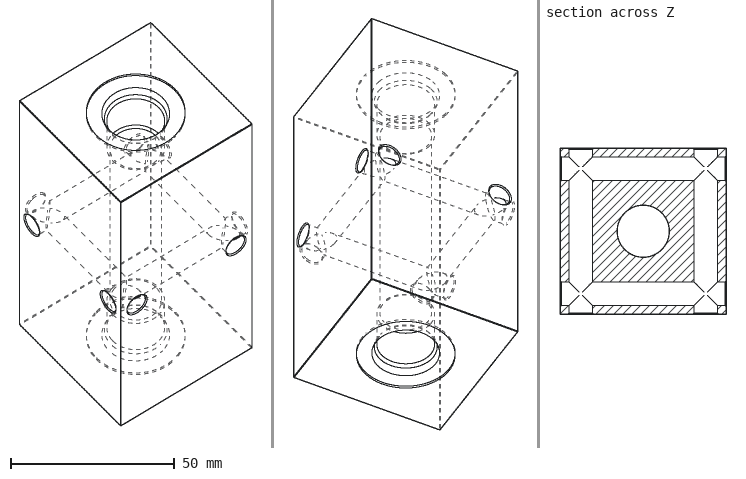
import cadquery as cq
import math

height = 108.0
width = 50.8
edge_chamfer = 0.19

spotface_diameter = 30.2
spotface_depth = 0.8
seat_mouth_diameter = 20.7
seat_floor_diameter = 19.2
seat_depth = 2.5
thread_lead_in = 1.1
thread_diameter = 17.7
thread_depth = 16.2
drill_point_angle = 118.0
bore_diameter = 15.9

cross_hole_diameter = 7.1
cross_hole_offset = 19.1
countersink_diameter = 7.9


def port_cutter():
    """Stepped port with a conical end, opening on the top face and revolved about Z."""
    top = height / 2
    spotface_floor = top - spotface_depth
    seat_floor = spotface_floor - seat_depth
    thread_start = seat_floor - thread_lead_in
    thread_floor = spotface_floor - thread_depth
    drill_tip = thread_floor - thread_diameter / 2 / math.tan(math.radians(drill_point_angle / 2))
    return (
        cq.Workplane("XZ")
        .moveTo(0, top)
        .lineTo(spotface_diameter / 2, top)
        .lineTo(spotface_diameter / 2, spotface_floor)
        .lineTo(seat_mouth_diameter / 2, spotface_floor)
        .lineTo(seat_floor_diameter / 2, seat_floor)
        .lineTo(thread_diameter / 2, thread_start)
        .lineTo(thread_diameter / 2, thread_floor)
        .lineTo(0, drill_tip)
        .close()
        .revolve(360, (0, 0), (0, 1))
    )


def cross_hole_cutter():
    """Through hole along the Y axis, countersunk at 45 degrees at both side faces."""
    face = width / 2
    hole_radius = cross_hole_diameter / 2
    mouth_radius = countersink_diameter / 2
    countersink_depth = mouth_radius - hole_radius
    return (
        cq.Workplane("XY")
        .moveTo(0, -face)
        .lineTo(mouth_radius, -face)
        .lineTo(hole_radius, -face + countersink_depth)
        .lineTo(hole_radius, face - countersink_depth)
        .lineTo(mouth_radius, face)
        .lineTo(0, face)
        .close()
        .revolve(360, (0, 0), (0, 1))
    )


block = cq.Workplane("XY").box(width, width, height).edges().chamfer(edge_chamfer)

bore = cq.Workplane("XY").circle(bore_diameter / 2).extrude(height / 2, both=True)
top_port = port_cutter()
bottom_port = top_port.mirror("XY")
result = block.cut(bore).cut(top_port).cut(bottom_port)

for side in (-1, 1):
    hole_along_y = cross_hole_cutter().translate((side * cross_hole_offset, 0, 0))
    hole_along_x = hole_along_y.rotate((0, 0, 0), (0, 0, 1), 90)
    result = result.cut(hole_along_y).cut(hole_along_x)